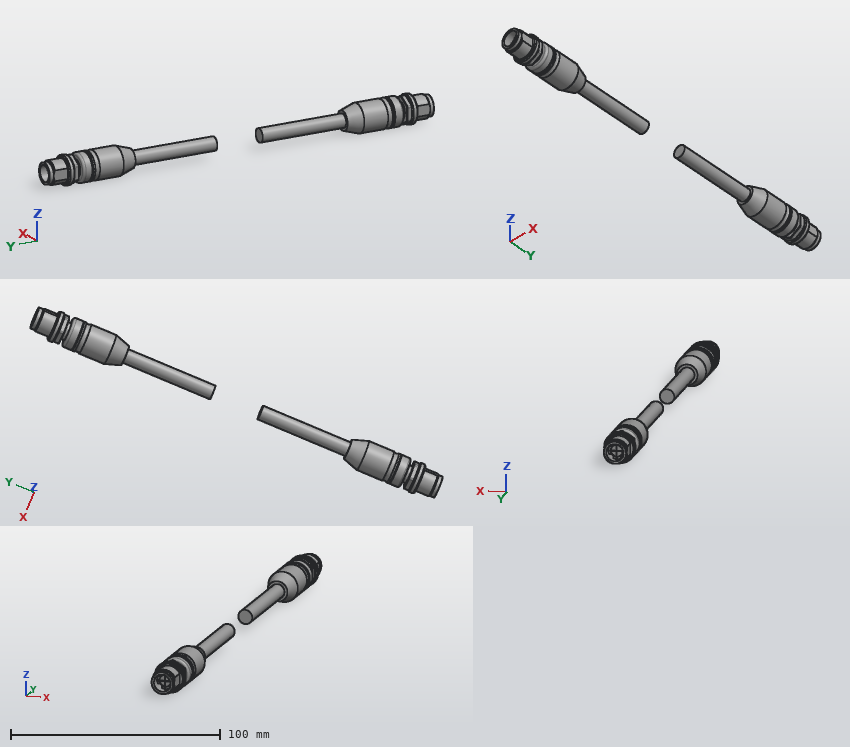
import cadquery as cq
import math

assembly_length = 209.5
plug_length = 92.5

cable_radius = 3.5
boot_end_radius = 5.0
grip_radius = 7.5
neck_radius = 4.5
ring_radius = grip_radius
spigot_radius = 6.0
tip_radius = 5.5
socket_radius = 4.2

tip_length = 2.0
spigot_start = 2.7
ring_start = 9.6
ring_end = 12.8
nut_end = 15.3
grip_start = 17.2
slit_start = 22.2
groove_start = 23.7
groove_end = 26.2
boot_start = 39.2
boot_end = 47.0

grip_front_round = 1.3
slit_width = 0.5
slit_depth = 0.5
groove_depth = 0.5
ring_chamfer = 0.6
nut_flat_distance = 6.5
nut_corner_round = 1.0
nut_chamfer = 0.2
spigot_flat_distance = tip_radius

socket_depth = 8.4
arm_width = 3.8
arm_recess = 4.6
hub_radius = 3.0
hub_recess = 4.2
web_thickness = 0.2
web_recess = 3.8


def cylinder(radius, start, end):
    """Solid cylinder on the plug axis between two distances from the mating end."""
    return cq.Workplane("XZ", origin=(0, start, 0)).circle(radius).extrude(start - end)


def turn(half_section):
    """Revolve a closed half section, drawn as (radius, distance), about the plug axis."""
    return half_section.close().revolve(360, (0, 0, 0), (0, 1, 0))


def turned_body():
    """Cable, boot, grip and neck as one turned shape."""
    round_middle = grip_front_round * (1 - math.sqrt(0.5))
    slit_end = slit_start + slit_width
    groove_middle = (groove_start + groove_end) / 2
    return turn(
        cq.Workplane("XY")
        .moveTo(0, ring_end)
        .lineTo(neck_radius, ring_end)
        .lineTo(neck_radius, grip_start)
        .lineTo(grip_radius - grip_front_round, grip_start)
        .threePointArc(
            (grip_radius - round_middle, grip_start + round_middle),
            (grip_radius, grip_start + grip_front_round),
        )
        .lineTo(grip_radius, slit_start)
        .lineTo(grip_radius - slit_depth, slit_start)
        .lineTo(grip_radius - slit_depth, slit_end)
        .lineTo(grip_radius, slit_end)
        .lineTo(grip_radius, groove_start)
        .threePointArc((grip_radius - groove_depth, groove_middle), (grip_radius, groove_end))
        .lineTo(grip_radius, boot_start)
        .lineTo(boot_end_radius, boot_end)
        .lineTo(cable_radius, boot_end)
        .lineTo(cable_radius, plug_length)
        .lineTo(0, plug_length)
    )


def nut():
    """Hexagon with flats up and down, rounded corners and a chamfered rear edge."""
    return (
        cq.Workplane("XZ", origin=(0, ring_end, 0))
        .polygon(6, 2 * nut_flat_distance, circumscribed=True)
        .extrude(ring_end - nut_end)
        .edges("|Y")
        .fillet(nut_corner_round)
        .faces(">Y")
        .chamfer(nut_chamfer)
    )


def ring():
    """Coupling ring, chamfered at both ends."""
    return cylinder(ring_radius, ring_start, ring_end).faces("<Y or >Y").chamfer(ring_chamfer)


def spigot():
    """Mating sleeve with a slimmer tip and a flat on each side, still without its socket."""
    sleeve = turn(
        cq.Workplane("XY")
        .lineTo(tip_radius, 0)
        .lineTo(tip_radius, tip_length)
        .lineTo(spigot_radius, spigot_start)
        .lineTo(spigot_radius, ring_start)
        .lineTo(0, ring_start)
    )
    between_flats = cq.Workplane("XY").box(
        2 * spigot_flat_distance, 2 * ring_start, 2 * spigot_radius
    )
    return sleeve.intersect(between_flats)


def cross(width, recess):
    """Two crossing walls across the socket, from a recess down to its floor."""
    upright = cq.Workplane("XY").box(width, 2 * socket_depth, 2 * socket_radius)
    level = upright.rotate((0, 0, 0), (0, 1, 0), 90)
    return upright.union(level).intersect(cylinder(socket_radius, recess, socket_depth))


def insert():
    """Cross with a raised round hub and a thin web standing proud along its middle."""
    arms = cross(arm_width, arm_recess)
    hub = cylinder(hub_radius, hub_recess, socket_depth)
    web = cross(web_thickness, web_recess)
    return arms.union(hub).union(web)


def plug():
    """One complete plug with its cable, the mating end at the origin and the cable toward +Y."""
    outside = turned_body().union(nut()).union(ring()).union(spigot())
    socket = cylinder(socket_radius, 0, socket_depth)
    return outside.cut(socket).union(insert())


front_plug = plug().translate((0, -assembly_length / 2, 0))
plugs = [front_plug.rotate((0, 0, 0), (1, 0, 0), turn_angle) for turn_angle in (0, 180)]

result = cq.Compound.makeCompound([body.val() for body in plugs])